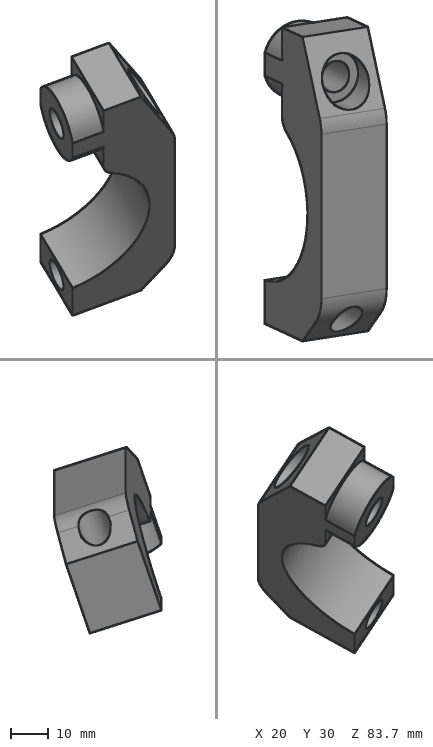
import cadquery as cq
import math

width = 20.0
depth = 30.0
height = 83.7

flange_face_y = 9.0
end_back_y = 20.0
upper_slope_height = 22.2
lower_slope_height = depth - end_back_y
back_corner_radius = 10.05
flange_corner_radius = 5.0

bore_radius = 23.5
bore_y = -1.0
bore_z = 35.5

upper_hole_z = 71.4
lower_hole_z = 6.0
hole_diameter = 8.5
boss_diameter = 21.0
counterbore_diameter = 14.0
counterbore_floor_y = end_back_y


def cylinder_along_y(diameter, z, y_start, y_end):
    """Cylinder parallel to Y, centred across the width."""
    axis_start = cq.Vector(0, y_start, z)
    solid = cq.Solid.makeCylinder(diameter / 2, y_end - y_start, axis_start, cq.Vector(0, 1, 0))
    return cq.Workplane(obj=solid)


def make_body():
    """Extruded half-clamp profile with rounded back corners and flange corner."""
    split_bore_z = bore_z - math.sqrt(bore_radius**2 - bore_y**2)
    flange_bore_z = bore_z + math.sqrt(bore_radius**2 - (flange_face_y - bore_y) ** 2)
    upper_corner_z = height - upper_slope_height

    profile = (
        cq.Workplane("YZ", origin=(-width / 2, 0, 0))
        .moveTo(0, 0)
        .lineTo(end_back_y, 0)
        .lineTo(depth, lower_slope_height)
        .lineTo(depth, upper_corner_z)
        .lineTo(end_back_y, height)
        .lineTo(flange_face_y, height)
        .lineTo(flange_face_y, flange_bore_z)
        .threePointArc((bore_y + bore_radius, bore_z), (0, split_bore_z))
        .close()
    )
    body = profile.extrude(width)
    for corner_z in (lower_slope_height, upper_corner_z):
        corner = cq.selectors.NearestToPointSelector((0, depth, corner_z))
        body = body.edges("|X").edges(corner).fillet(back_corner_radius)
    flange_corner = cq.selectors.NearestToPointSelector((0, flange_face_y, flange_bore_z))
    return body.edges("|X").edges(flange_corner).fillet(flange_corner_radius)


def make_boss():
    """Round boss on the flange, trimmed flat to the body width."""
    boss = cylinder_along_y(boss_diameter, upper_hole_z, 0, flange_face_y)
    width_limit = cq.Workplane().box(width, 2 * depth, 2 * height)
    return boss.intersect(width_limit)


result = make_body().union(make_boss())

for hole_z in (upper_hole_z, lower_hole_z):
    result = result.cut(cylinder_along_y(hole_diameter, hole_z, 0, depth))

result = result.cut(cylinder_along_y(counterbore_diameter, upper_hole_z, counterbore_floor_y, depth))